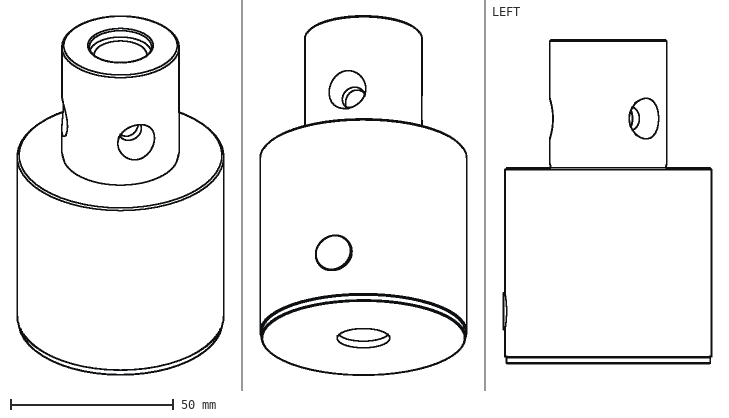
import cadquery as cq
import math

TOTAL_HEIGHT = 99.5
BARREL_TOP = 60.1
PLATE_THICKNESS = 2.2

PLATE_DIAMETER = 62.7
PLATE_CHAMFER = 0.3

BARREL_DIAMETER = 63.5
NECK_DIAMETER = 36.0
EDGE_CHAMFER = 0.6

RELIEF_DIAMETER = 35.4
RELIEF_LAND_HEIGHT = 0.3
RELIEF_TAPER_HEIGHT = 1.0

BORE_DIAMETER = 16.1
COUNTERBORE_DIAMETER = 19.1
COUNTERBORE_DEPTH = 2.8
SHOULDER_HEIGHT = 0.5
BORE_CHAMFER = 0.5

DETENT_HEIGHT = 75.2
DETENT_ANGLES = (90.0, 220.0, 320.0)
DETENT_MOUTH_DIAMETER = 12.4
DETENT_THROAT_DIAMETER = 7.2
DETENT_THROAT_DISTANCE = 10.5

BOSS_DIAMETER = 11.4
BOSS_HEIGHT = 16.1
BOSS_PROTRUSION = 0.5
BOSS_CHAMFER = 0.2

BARREL_RADIUS = BARREL_DIAMETER / 2
NECK_RADIUS = NECK_DIAMETER / 2
RELIEF_RADIUS = RELIEF_DIAMETER / 2
BORE_RADIUS = BORE_DIAMETER / 2
COUNTERBORE_RADIUS = COUNTERBORE_DIAMETER / 2
DETENT_THROAT_RADIUS = DETENT_THROAT_DIAMETER / 2
BOSS_RADIUS = BOSS_DIAMETER / 2

BOSS_ROOT_Y = math.sqrt(BARREL_RADIUS**2 - BOSS_RADIUS**2) - BOSS_PROTRUSION


def revolve_about_z(profile):
    """Solid of revolution about Z from a list of (radius, height) points."""
    return cq.Workplane("XZ").polyline(profile).close().revolve(360, (0, 0, 0), (0, 1, 0))


def make_base_plate():
    """Flat ring under the barrel, chamfered on both outer edges."""
    return (
        cq.Workplane("XY")
        .circle(PLATE_DIAMETER / 2)
        .extrude(PLATE_THICKNESS)
        .edges()
        .chamfer(PLATE_CHAMFER)
        .cut(cq.Workplane("XY").circle(BORE_RADIUS).extrude(PLATE_THICKNESS))
    )


def make_barrel_and_neck():
    """Barrel, relief and neck as one stepped profile with the bore removed."""
    land_top = BARREL_TOP + RELIEF_LAND_HEIGHT
    counterbore_floor = TOTAL_HEIGHT - COUNTERBORE_DEPTH
    return revolve_about_z([
        (BORE_RADIUS, PLATE_THICKNESS),
        (BARREL_RADIUS, PLATE_THICKNESS),
        (BARREL_RADIUS, BARREL_TOP - EDGE_CHAMFER),
        (BARREL_RADIUS - EDGE_CHAMFER, BARREL_TOP),
        (RELIEF_RADIUS, BARREL_TOP),
        (RELIEF_RADIUS, land_top),
        (NECK_RADIUS, land_top + RELIEF_TAPER_HEIGHT),
        (NECK_RADIUS, TOTAL_HEIGHT - EDGE_CHAMFER),
        (NECK_RADIUS - EDGE_CHAMFER, TOTAL_HEIGHT),
        (COUNTERBORE_RADIUS + BORE_CHAMFER, TOTAL_HEIGHT),
        (COUNTERBORE_RADIUS, TOTAL_HEIGHT - BORE_CHAMFER),
        (COUNTERBORE_RADIUS, counterbore_floor),
        (BORE_RADIUS, counterbore_floor - SHOULDER_HEIGHT),
    ])


def make_detent(angle):
    """Cutter for a hole pointing outward at an angle about Z: a straight throat, then a taper."""
    outward = cq.Vector(math.cos(math.radians(angle)), math.sin(math.radians(angle)), 0)
    centre = cq.Vector(0, 0, DETENT_HEIGHT)
    throat = cq.Solid.makeCylinder(DETENT_THROAT_RADIUS, DETENT_THROAT_DISTANCE, centre, outward)
    taper = cq.Solid.makeCone(
        DETENT_THROAT_RADIUS,
        DETENT_MOUTH_DIAMETER / 2,
        NECK_RADIUS - DETENT_THROAT_DISTANCE,
        centre + outward * DETENT_THROAT_DISTANCE,
        outward,
    )
    return cq.Workplane(throat).union(cq.Workplane(taper))


def make_boss():
    """Low round boss along +Y with a chamfered rim."""
    boss = cq.Solid.makeCylinder(
        BOSS_RADIUS,
        BARREL_RADIUS + BOSS_PROTRUSION - BOSS_ROOT_Y,
        cq.Vector(0, BOSS_ROOT_Y, BOSS_HEIGHT),
        cq.Vector(0, 1, 0),
    )
    return cq.Workplane(boss).faces(">Y").chamfer(BOSS_CHAMFER)


def make_housing():
    """Barrel and neck with the side boss and the detent holes."""
    body = make_barrel_and_neck().union(make_boss())
    for angle in DETENT_ANGLES:
        body = body.cut(make_detent(angle))
    return body


base_plate = make_base_plate()
housing = make_housing()

result = cq.Compound.makeCompound([base_plate.val(), housing.val()])